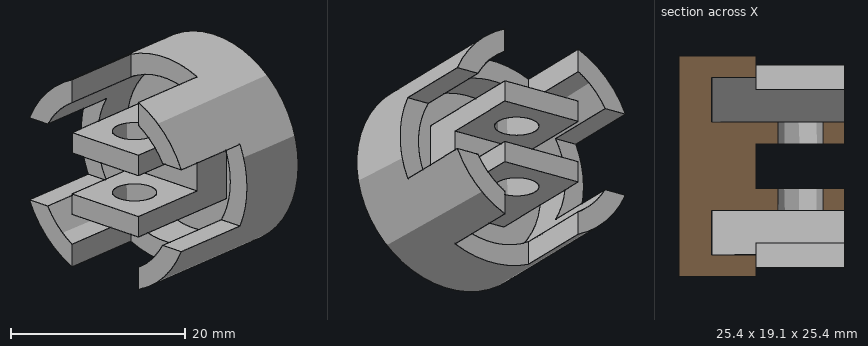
import cadquery as cq

outer_diameter = 25.4
length = 19.05
bore_diameter = 20.32
bore_depth = 15.25

slot_width = 10.15
slot_depth = 10.15

lug_width = slot_width
lug_thickness = 2.55
lug_gap = 5.08
clevis_depth = slot_depth
pin_hole_diameter = 5.08
pin_hole_from_end = clevis_depth / 2


def cylinder_along_y(diameter, depth):
    """Solid cylinder from the open end towards the closed end."""
    return cq.Workplane("XZ").circle(diameter / 2).extrude(-depth)


def box_from_open_end(width, depth, height):
    """Box centred in X and Z, starting at the open end."""
    return cq.Workplane("XY").box(width, depth, height, centered=(True, False, True))


def make_cup():
    cup = cylinder_along_y(outer_diameter, length)
    cup = cup.cut(cylinder_along_y(bore_diameter, bore_depth))
    cup = cup.cut(box_from_open_end(slot_width, slot_depth, outer_diameter))
    return cup.cut(box_from_open_end(outer_diameter, slot_depth, slot_width))


def make_clevis():
    lug_span = lug_gap + 2 * lug_thickness
    clevis = box_from_open_end(lug_width, bore_depth, lug_span)
    clevis = clevis.cut(box_from_open_end(lug_width, clevis_depth, lug_gap))
    pin_hole = (
        cq.Workplane("XY")
        .center(0, pin_hole_from_end)
        .circle(pin_hole_diameter / 2)
        .extrude(lug_span, both=True)
    )
    return clevis.cut(pin_hole)


result = make_cup().union(make_clevis())